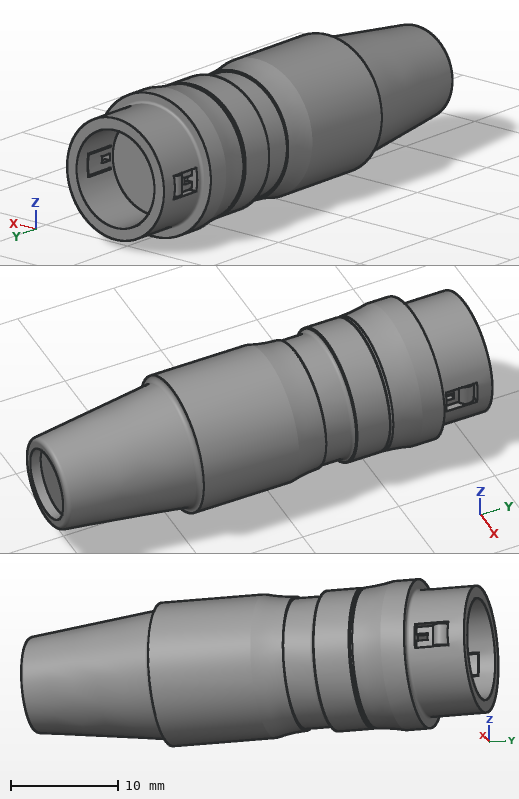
import cadquery as cq
import math

LENGTH = 43.5

BARREL_RADIUS = 5.95
BARREL_FILLET = 0.25
FLANGE_START = 5.52
FLANGE_RADIUS = 7.0
FLANGE_END = 7.8
FLANGE_TAPER_MIDDLE = 9.22
FLANGE_TAPER_MIDDLE_RADIUS = 6.75
FLANGE_TAPER_END = 10.65
FLANGE_TAPER_RADIUS = 6.6
GROOVE_RADIUS = 6.45
RING_START = 11.0
RING_RADIUS = 6.6
RING_END = 14.4
RING_CHAMFER = 0.1
NECK_RADIUS = 6.15
NECK_FILLET = RING_RADIUS - RING_CHAMFER - NECK_RADIUS
NECK_END = 17.5
GRIP_FOOT_RADIUS = 6.3
GRIP_TAPER_MIDDLE = 18.95
GRIP_TAPER_MIDDLE_RADIUS = 6.45
GRIP_START = 20.5
GRIP_RADIUS = 6.75
GRIP_END = 30.45
CONE_RADIUS = 6.05
CONE_FILLET = 0.52
CONE_END_RADIUS = 4.5
CONE_END_FILLET = 0.45

RECESS_RADIUS = 3.5
RECESS_DEPTH = 1.1

BORE_RADIUS = 4.8
BORE_DEPTH = 5.2

WINDOW_START = 1.55
WINDOW_END = 4.8
WINDOW_HEIGHT = 2.3
TONGUE_GAP = 0.15
END_GAP = 0.1
TONGUE_RADIUS = 5.35
BUMP_TOP = 5.87
BUMP_LENGTH = 1.52
LATCH_HOLE_START = 3.7
LATCH_HOLE_HEIGHT = 0.65


def along(distance):
    """Y coordinate at a distance from the mating end, with the part centred on the origin."""
    return LENGTH / 2 - distance


def point(radius, distance):
    return (radius, along(distance))


def fillet_middle(section_radius, shoulder, reach):
    """Middle of the hollow quarter circle between a section and a shoulder.

    The reach is the fillet radius, positive when the section lies beyond the shoulder.
    """
    inset = 1 - math.sqrt(0.5)
    return point(section_radius + abs(reach) * inset, shoulder + reach * inset)


def turned_body():
    groove_end = RING_START - RING_CHAMFER
    neck_shoulder = RING_END + RING_CHAMFER
    outline = (
        cq.Workplane("XY")
        .moveTo(*point(0, 0))
        .lineTo(*point(BARREL_RADIUS, 0))
        .lineTo(*point(BARREL_RADIUS, FLANGE_START - BARREL_FILLET))
        .threePointArc(
            fillet_middle(BARREL_RADIUS, FLANGE_START, -BARREL_FILLET),
            point(BARREL_RADIUS + BARREL_FILLET, FLANGE_START),
        )
        .lineTo(*point(FLANGE_RADIUS, FLANGE_START))
        .lineTo(*point(FLANGE_RADIUS, FLANGE_END))
        .threePointArc(
            point(FLANGE_TAPER_MIDDLE_RADIUS, FLANGE_TAPER_MIDDLE),
            point(FLANGE_TAPER_RADIUS, FLANGE_TAPER_END),
        )
        .lineTo(*point(GROOVE_RADIUS, groove_end))
        .lineTo(*point(RING_RADIUS - RING_CHAMFER, groove_end))
        .lineTo(*point(RING_RADIUS, RING_START))
        .lineTo(*point(RING_RADIUS, RING_END))
        .lineTo(*point(RING_RADIUS - RING_CHAMFER, neck_shoulder))
        .threePointArc(
            fillet_middle(NECK_RADIUS, neck_shoulder, NECK_FILLET),
            point(NECK_RADIUS, neck_shoulder + NECK_FILLET),
        )
        .lineTo(*point(NECK_RADIUS, NECK_END))
        .lineTo(*point(GRIP_FOOT_RADIUS, NECK_END))
        .threePointArc(
            point(GRIP_TAPER_MIDDLE_RADIUS, GRIP_TAPER_MIDDLE),
            point(GRIP_RADIUS, GRIP_START),
        )
        .lineTo(*point(GRIP_RADIUS, GRIP_END))
        .lineTo(*point(CONE_RADIUS + CONE_FILLET, GRIP_END))
        .threePointArc(
            fillet_middle(CONE_RADIUS, GRIP_END, CONE_FILLET),
            point(CONE_RADIUS, GRIP_END + CONE_FILLET),
        )
        .lineTo(*point(CONE_END_RADIUS, LENGTH))
        .lineTo(*point(0, LENGTH))
        .close()
    )
    body = outline.revolve(360, (0, 0, 0), (0, 1, 0))
    return body.faces("<Y").edges().fillet(CONE_END_FILLET)


def cylinder(radius, start, end):
    """Solid cylinder on the part axis between two distances from the mating end."""
    return cq.Workplane("XZ", origin=(0, along(start), 0)).circle(radius).extrude(end - start)


def crossbar(start, end, height):
    """Bar across the part along X, through both walls."""
    width = 2 * FLANGE_RADIUS
    middle = (0, along((start + end) / 2), 0)
    return cq.Workplane("XY", origin=middle).box(width, end - start, height)


def latch_tongues():
    """Both tongues: a strip of ring with a rounded locking bump at its free end."""
    start = WINDOW_START + END_GAP
    bump_end = start + BUMP_LENGTH
    height = WINDOW_HEIGHT - 2 * TONGUE_GAP
    strips = cylinder(TONGUE_RADIUS, start, WINDOW_END).intersect(crossbar(start, WINDOW_END, height))
    bumps = (
        cq.Workplane("XY", origin=(0, 0, -height / 2))
        .moveTo(*point(-TONGUE_RADIUS, start))
        .threePointArc(point(-BUMP_TOP, start + BUMP_LENGTH / 2), point(-TONGUE_RADIUS, bump_end))
        .lineTo(*point(TONGUE_RADIUS, bump_end))
        .threePointArc(point(BUMP_TOP, start + BUMP_LENGTH / 2), point(TONGUE_RADIUS, start))
        .close()
        .extrude(height)
    )
    holes = crossbar(LATCH_HOLE_START, WINDOW_END, LATCH_HOLE_HEIGHT)
    return strips.union(bumps).cut(holes)


bore = cylinder(BORE_RADIUS, 0, BORE_DEPTH)
recess = cylinder(RECESS_RADIUS, LENGTH - RECESS_DEPTH, LENGTH)
windows = crossbar(WINDOW_START, WINDOW_END, WINDOW_HEIGHT)

result = turned_body().cut(recess).cut(windows).union(latch_tongues()).cut(bore)